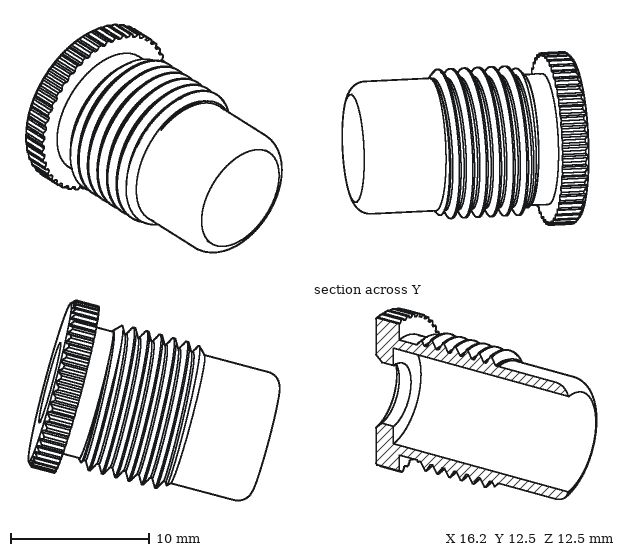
import cadquery as cq
import math

length = 16.2

head_diameter = 12.5
head_thickness = 2.0
head_chamfer = 0.3
groove_count = 48
groove_depth = 0.21
groove_floor_width = 0.18
groove_mouth_width = 0.6

neck_diameter = 9.5
barrel_diameter = 9.62
barrel_end_round = 1.1

thread_start = 3.47
thread_end = 10.34
thread_diameter = 10.85
six_turns = 6.0
pitch = six_turns / 6
crest_flat = pitch / 8
flank_angle = math.radians(30)
crest_at_bottom = 4.18
thread_sink = 0.06

mouth_diameter = 6.0
hole_diameter = 4.95
lip_end = 1.5
rear_bore_diameter = 7.81


def make_body():
    """Turned outline with its hole, revolved about X."""
    head_radius = head_diameter / 2
    neck_radius = neck_diameter / 2
    barrel_radius = barrel_diameter / 2
    hole_radius = hole_diameter / 2
    mouth_radius = mouth_diameter / 2
    rear_bore_radius = rear_bore_diameter / 2
    mouth_depth = mouth_radius - hole_radius

    centre_radius = barrel_radius - barrel_end_round
    round_length = math.sqrt(barrel_end_round**2 - (rear_bore_radius - centre_radius) ** 2)

    return (
        cq.Workplane("XY")
        .moveTo(0, mouth_radius)
        .lineTo(0, head_radius - head_chamfer)
        .lineTo(head_chamfer, head_radius)
        .lineTo(head_thickness, head_radius)
        .lineTo(head_thickness, neck_radius)
        .lineTo(thread_start, neck_radius)
        .lineTo(thread_start, barrel_radius)
        .lineTo(length - round_length, barrel_radius)
        .radiusArc((length, rear_bore_radius), barrel_end_round)
        .lineTo(lip_end, rear_bore_radius)
        .lineTo(lip_end, hole_radius)
        .lineTo(mouth_depth, hole_radius)
        .close()
        .revolve(360, (0, 0, 0), (1, 0, 0))
    )


def make_knurl_grooves():
    """Trapezoidal grooves along X, evenly spaced round the head rim."""
    rim = head_diameter / 2
    floor = rim - groove_depth
    flank_run = (groove_mouth_width - groove_floor_width) / 2
    top = rim + groove_depth
    half_floor = groove_floor_width / 2
    half_top = half_floor + flank_run * (top - floor) / groove_depth
    groove = (
        cq.Workplane("YZ")
        .polyline([(-half_floor, floor), (half_floor, floor), (half_top, top), (-half_top, top)])
        .close()
        .extrude(head_thickness)
        .val()
    )
    step = 360 / groove_count
    grooves = [groove.rotate((0, 0, 0), (1, 0, 0), i * step) for i in range(groove_count)]
    return cq.Workplane(obj=cq.Compound.makeCompound(grooves))


def make_thread():
    """Helical ridge along X, cut off at both ends by 45 degree cones."""
    crest_radius = thread_diameter / 2
    root_radius = barrel_diameter / 2
    base_radius = root_radius - thread_sink
    half_crest = crest_flat / 2
    half_base = half_crest + (crest_radius - base_radius) * math.tan(flank_angle)

    start = crest_at_bottom - 2 * pitch
    turns = math.ceil((thread_end - start) / pitch) + 1
    path = cq.Wire.makeHelix(pitch, turns * pitch, crest_radius)
    ridge = (
        cq.Workplane("XZ")
        .polyline(
            [
                (base_radius, -half_base),
                (crest_radius, -half_crest),
                (crest_radius, half_crest),
                (base_radius, half_base),
            ]
        )
        .close()
        .sweep(cq.Workplane(obj=path), isFrenet=True)
        .rotate((0, 0, 0), (0, 1, 0), 90)
        .translate((start, 0, 0))
    )

    clear_radius = crest_radius + crest_flat
    cone_length = clear_radius - root_radius
    envelope = (
        cq.Workplane("XY")
        .moveTo(thread_start, 0)
        .lineTo(thread_start, root_radius)
        .lineTo(thread_start + cone_length, clear_radius)
        .lineTo(thread_end - cone_length, clear_radius)
        .lineTo(thread_end, root_radius)
        .lineTo(thread_end, 0)
        .close()
        .revolve(360, (0, 0, 0), (1, 0, 0))
    )
    return ridge.intersect(envelope)


result = make_body().cut(make_knurl_grooves()).union(make_thread())